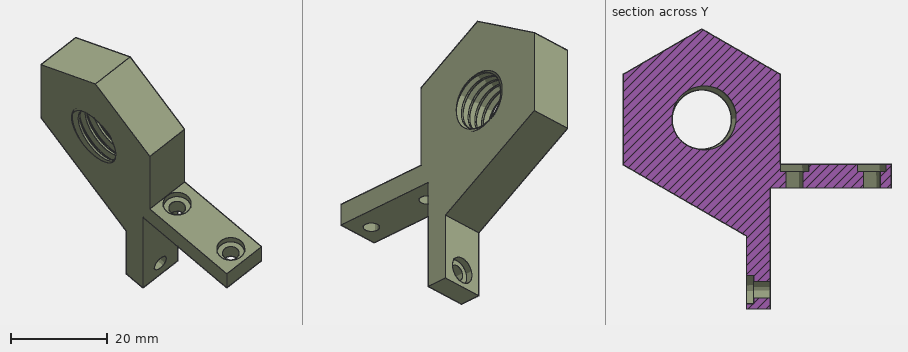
import cadquery as cq
import math

THICKNESS = 10.0

HEX_ACROSS_FLATS = 32.5
HEX_HALF_WIDTH = HEX_ACROSS_FLATS / 2
HEX_SLOPE_ANGLE = math.radians(30)
HEX_CORNER_RADIUS = HEX_HALF_WIDTH / math.cos(HEX_SLOPE_ANGLE)

INNER_CORNER = 14.2
ARM_LENGTH = 25.0
ARM_THICKNESS = 5.0
ARM_END = INNER_CORNER + ARM_LENGTH
ARM_OUTER_FACE = INNER_CORNER - ARM_THICKNESS

SCREW_HOLE_DIAMETER = 3.4
COUNTERBORE_DIAMETER = 5.8
COUNTERBORE_DEPTH = 1.5
END_HOLE_MARGIN = 4.0
SCREW_SPACING = 16.0
END_HOLE_POSITION = ARM_END - END_HOLE_MARGIN

THREAD_PITCH = 2.0
THREAD_MINOR_RADIUS = 6.1
FLANK_ANGLE = math.radians(30)
SHARP_V_HEIGHT = THREAD_PITCH / (2 * math.tan(FLANK_ANGLE))
THREAD_DEPTH = 5 / 8 * SHARP_V_HEIGHT
THREAD_MAJOR_RADIUS = THREAD_MINOR_RADIUS + THREAD_DEPTH
THREAD_ROOT_WIDTH = THREAD_PITCH / 8
THREAD_START_ANGLE = 216.0
GROOVE_OVERLAP = 0.2
GROOVE_RUNOUT_TURNS = 0.5


def make_plate():
    """Head and arms as one extruded outline."""
    half_side = HEX_CORNER_RADIUS / 2
    slope_drop = (ARM_OUTER_FACE + HEX_HALF_WIDTH) * math.tan(HEX_SLOPE_ANGLE)
    outline = [
        (0, HEX_CORNER_RADIUS),
        (HEX_HALF_WIDTH, half_side),
        (HEX_HALF_WIDTH, -ARM_OUTER_FACE),
        (ARM_END, -ARM_OUTER_FACE),
        (ARM_END, -INNER_CORNER),
        (INNER_CORNER, -INNER_CORNER),
        (INNER_CORNER, -ARM_END),
        (ARM_OUTER_FACE, -ARM_END),
        (ARM_OUTER_FACE, -half_side - slope_drop),
        (-HEX_HALF_WIDTH, -half_side),
        (-HEX_HALF_WIDTH, half_side),
    ]
    return cq.Workplane("XZ").polyline(outline).close().extrude(-THICKNESS)


def make_screw_hole(position, direction):
    """Counterbored hole cutter, starting at the counterbored face and running along direction."""
    start = cq.Vector(*position)
    axis = cq.Vector(*direction)
    bore = cq.Solid.makeCylinder(SCREW_HOLE_DIAMETER / 2, ARM_THICKNESS, start, axis)
    counterbore = cq.Solid.makeCylinder(COUNTERBORE_DIAMETER / 2, COUNTERBORE_DEPTH, start, axis)
    return bore.fuse(counterbore)


def cut_screw_holes(plate):
    """Two holes down through the horizontal arm, one sideways through the hanging arm."""
    mid_y = THICKNESS / 2
    for x in (END_HOLE_POSITION, END_HOLE_POSITION - SCREW_SPACING):
        plate = plate.cut(make_screw_hole((x, mid_y, -ARM_OUTER_FACE), (0, 0, -1)))
    return plate.cut(make_screw_hole((ARM_OUTER_FACE, mid_y, -END_HOLE_POSITION), (1, 0, 0)))


def make_thread_groove():
    """Helical groove cutter, built along Z and then laid along the hole axis."""
    turns_behind_front = THICKNESS / THREAD_PITCH + GROOVE_RUNOUT_TURNS
    depth_behind_front = turns_behind_front * THREAD_PITCH
    height = depth_behind_front + GROOVE_RUNOUT_TURNS * THREAD_PITCH
    helix_start_angle = THREAD_START_ANGLE - 360 * turns_behind_front
    inner_radius = THREAD_MINOR_RADIUS - GROOVE_OVERLAP
    root_half = THREAD_ROOT_WIDTH / 2
    mouth_half = root_half + (THREAD_DEPTH + GROOVE_OVERLAP) * math.tan(FLANK_ANGLE)
    profile = [
        (inner_radius, -mouth_half),
        (THREAD_MAJOR_RADIUS, -root_half),
        (THREAD_MAJOR_RADIUS, root_half),
        (inner_radius, mouth_half),
    ]
    helix = cq.Wire.makeHelix(THREAD_PITCH, height, THREAD_MINOR_RADIUS)
    groove = cq.Workplane("XZ").polyline(profile).close().sweep(cq.Workplane(helix), isFrenet=True)
    groove = groove.translate((0, 0, -depth_behind_front))
    groove = groove.rotate((0, 0, 0), (0, 0, 1), helix_start_angle)
    return groove.rotate((0, 0, 0), (1, 0, 0), 90)


def cut_threaded_hole(plate):
    """Plain bore at the minor diameter, then the helical groove.

    The seam of the bore is turned to the start of the groove, which keeps the groove cut reliable.
    """
    bore = cq.Workplane("XZ").circle(THREAD_MINOR_RADIUS).extrude(-THICKNESS)
    bore = bore.rotate((0, 0, 0), (0, -1, 0), THREAD_START_ANGLE)
    return plate.cut(bore).cut(make_thread_groove())


result = cut_threaded_hole(cut_screw_holes(make_plate()))